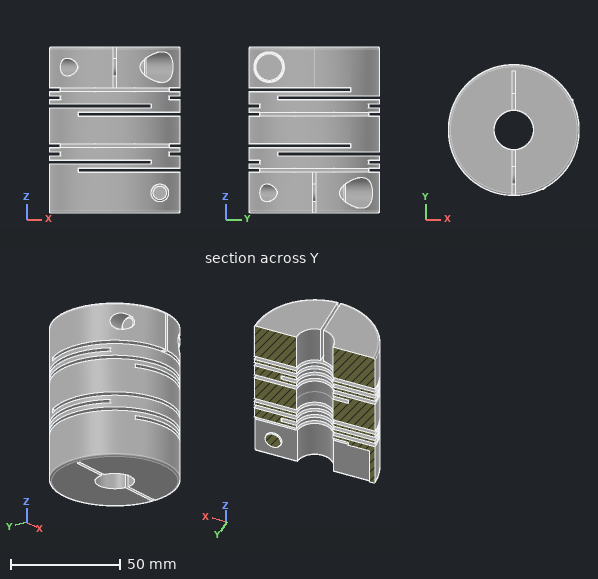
import cadquery as cq


outer_diameter = 60.0
length = 76.2
bore_diameter = 18.0
rim_fillet = 1.0
half_length = length / 2
outer_radius = outer_diameter / 2
oversize = outer_diameter

hub_height = 18.8
slot_width = 1.7
slot_pitch = 3.7
slot_reach = 16.6
slot_open_angles = (-90, 90, 180, 0)
group_height = slot_pitch * (len(slot_open_angles) - 1) + slot_width

slit_width = 1.5
slit_reach = 27.05

screw_offset = 20.65
screw_end_distance = 9.3
screw_diameter = 8.1
screw_tip_chamfer = 1.0
screw_length = 23.2
head_diameter = 13.2
head_height = 8.0
head_chamfer = 0.5
counterbore_diameter = 14.0
seat_distance = 6.25


def make_body():
    body = cq.Workplane("XY").circle(outer_radius).extrude(half_length, both=True)
    body = body.faces("<Z or >Z").edges().fillet(rim_fillet)
    bore = cq.Workplane("XY").circle(bore_diameter / 2).extrude(half_length, both=True)
    return body.cut(bore)


def make_slot(top, open_angle):
    """Cutter that opens towards open_angle and stops slot_reach past the axis."""
    slot = cq.Workplane("XY").box(
        oversize + slot_reach, 2 * oversize, slot_width, centered=(False, True, False)
    )
    slot = slot.translate((-slot_reach, 0, top - slot_width))
    return slot.rotate((0, 0, 0), (0, 0, 1), open_angle)


def x_cylinder(diameter, start, end):
    """Cylinder along X on the axis of the upper clamp screw."""
    plane = cq.Plane(
        origin=(start, -screw_offset, half_length - screw_end_distance),
        xDir=(0, 1, 0),
        normal=(1, 0, 0),
    )
    return cq.Workplane(plane).circle(diameter / 2).extrude(end - start)


def make_hub_cutter():
    """Slit, screw hole and counterbore of the upper hub."""
    slit = cq.Workplane("XY").box(
        slit_width, oversize + slit_reach, hub_height, centered=(True, False, False)
    )
    slit = slit.translate((0, -oversize, half_length - hub_height))
    hole = x_cylinder(screw_diameter, -oversize, seat_distance)
    counterbore = x_cylinder(counterbore_diameter, seat_distance, oversize)
    return slit.union(hole).union(counterbore)


def make_screw():
    """Cap screw of the upper hub, with its head towards +X."""
    shank = x_cylinder(screw_diameter, seat_distance - screw_length, seat_distance)
    shank = shank.faces("<X").chamfer(screw_tip_chamfer)
    head = x_cylinder(head_diameter, seat_distance, seat_distance + head_height)
    head = head.faces(">X").chamfer(head_chamfer)
    return shank.union(head)


def to_lower_hub(shape):
    """Mirror an upper hub feature to the bottom end and give it a quarter turn."""
    return shape.mirror("XY").rotate((0, 0, 0), (0, 0, 1), 90)


result = make_body()

for group_top in (half_length - hub_height, group_height + hub_height - half_length):
    for index, open_angle in enumerate(slot_open_angles):
        result = result.cut(make_slot(group_top - index * slot_pitch, open_angle))

hub_cutter = make_hub_cutter()
screw = make_screw()
result = result.cut(hub_cutter).cut(to_lower_hub(hub_cutter))
result = result.union(screw).union(to_lower_hub(screw))